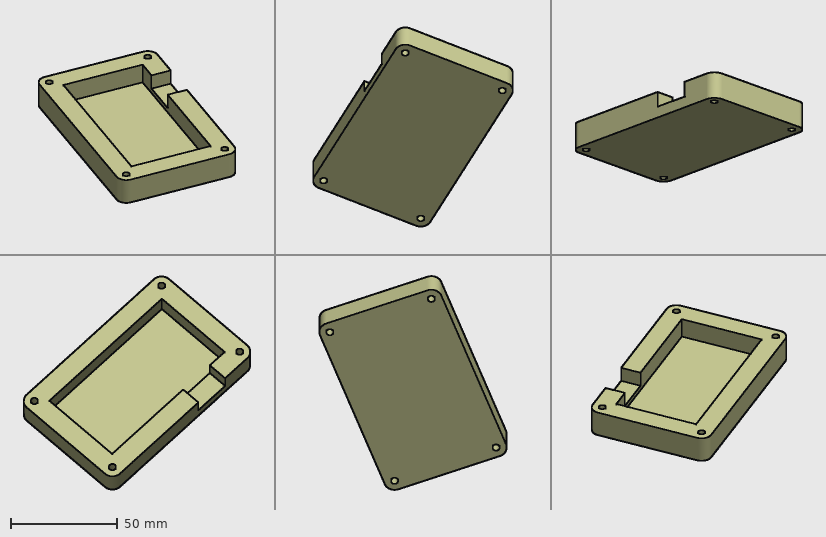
import cadquery as cq

length = 96.0
width = 61.0
height = 13.0
corner_radius = 5.0

wall = 10.0
pocket_depth = 10.0

notch_start = 20.0
notch_width = 18.0
notch_depth = 7.5

hole_diameter = 3.4


def make_body():
    body = cq.Workplane("XY").box(length, width, height, centered=(True, True, False))
    return body.edges("|Z").fillet(corner_radius)


def make_pocket():
    pocket = cq.Workplane("XY").workplane(offset=height - pocket_depth)
    return pocket.rect(length - 2 * wall, width - 2 * wall).extrude(pocket_depth)


def make_notch():
    notch = cq.Workplane("XY").box(notch_width, wall, notch_depth, centered=False)
    return notch.translate((notch_start - length / 2, width / 2 - wall, height - notch_depth))


def make_screw_holes():
    spacing_x = length - 2 * corner_radius
    spacing_y = width - 2 * corner_radius
    centers = cq.Workplane("XY").rect(spacing_x, spacing_y, forConstruction=True).vertices()
    return centers.circle(hole_diameter / 2).extrude(height)


result = make_body().cut(make_pocket()).cut(make_notch()).cut(make_screw_holes())